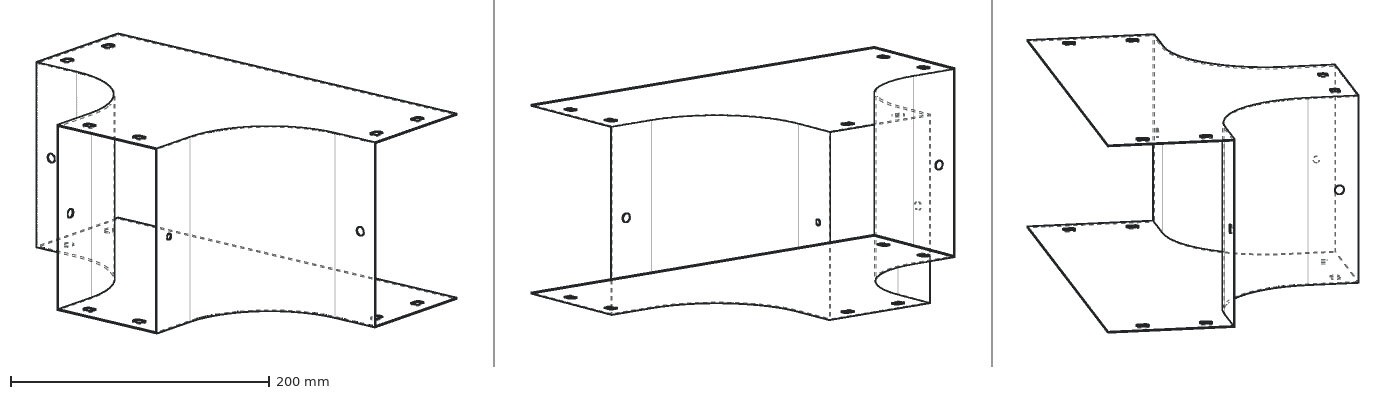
import cadquery as cq

length = 340.0
height = 150.0
sheet = 1.0
duct_width = 100.0
straight_end = 40.0
bend_radius = (length - duct_width) / 2 - straight_end
depth = duct_width + bend_radius + straight_end

end_offset = 15.0
slot_pitch = 50.0
slot_length = 10.0
slot_width = 7.0
slot_shift = 5.0
wall_hole = 7.0
far_wall_hole = 5.0

half_length = length / 2
half_width = duct_width / 2
bend_start_x = half_width + bend_radius
bend_end_y = -duct_width - bend_radius
branch_hole_y = end_offset - depth


def tee_prism(wall, prism_height):
    """T-shaped block whose concave sides lie inside the outer walls by `wall`."""
    side_x = half_width - wall
    front_y = -duct_width + wall
    radius = bend_radius + wall
    diagonal = radius * 0.5 ** 0.5
    right_mid = (bend_start_x - diagonal, bend_end_y + diagonal)
    left_mid = (-right_mid[0], right_mid[1])
    return (
        cq.Workplane("XY")
        .moveTo(-half_length, 0)
        .lineTo(half_length, 0)
        .lineTo(half_length, front_y)
        .lineTo(bend_start_x, front_y)
        .threePointArc(right_mid, (side_x, bend_end_y))
        .lineTo(side_x, -depth)
        .lineTo(-side_x, -depth)
        .lineTo(-side_x, bend_end_y)
        .threePointArc(left_mid, (-bend_start_x, front_y))
        .lineTo(-half_length, front_y)
        .close()
        .extrude(prism_height / 2, both=True)
    )


def plate_slots(points, size_x, size_y):
    """Slots through both plates: circles of the slot length flattened to the slot width."""
    discs = cq.Workplane("XY").pushPoints(points).circle(slot_length / 2).extrude(height, both=True)
    blocks = cq.Workplane("XY").pushPoints(points).rect(size_x, size_y).extrude(height, both=True)
    return discs.intersect(blocks)


def wall_drill(plane, across, diameter, reach):
    """Round cutter at mid height, starting at the centre plane of the duct."""
    return cq.Workplane(plane).center(across, 0).circle(diameter / 2).extrude(reach)


result = tee_prism(0, height).cut(tee_prism(sheet, height - 2 * sheet))

side_slot_points = [
    (side * (half_length - end_offset), -half_width - slot_shift + offset)
    for side in (-1, 1)
    for offset in (-slot_pitch / 2, slot_pitch / 2)
]
branch_slot_points = [(side * slot_pitch / 2 - slot_shift, branch_hole_y) for side in (-1, 1)]
result = result.cut(plate_slots(side_slot_points, slot_width, slot_length))
result = result.cut(plate_slots(branch_slot_points, slot_length, slot_width))

for side in (-1, 1):
    result = result.cut(wall_drill("XZ", side * (half_length - end_offset), wall_hole, depth))

result = result.cut(wall_drill("YZ", branch_hole_y, wall_hole, -duct_width))
result = result.cut(wall_drill("YZ", branch_hole_y, far_wall_hole, duct_width))